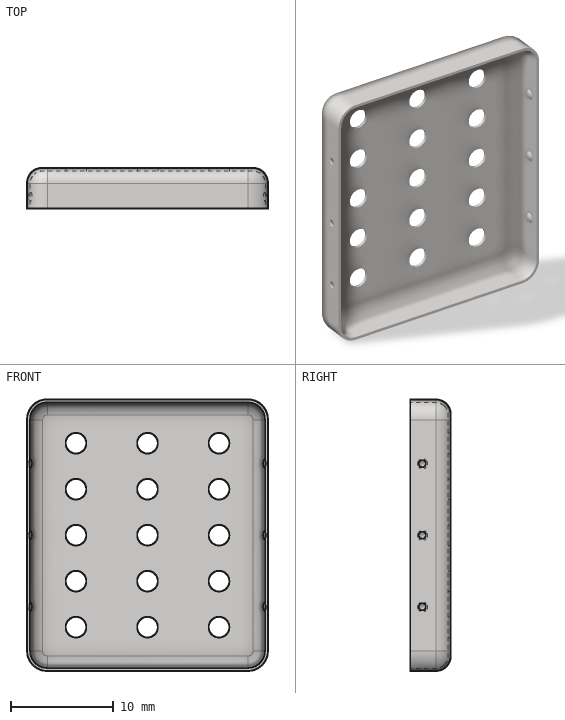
import cadquery as cq

WIDTH = 23.6
DEPTH = 4.0
HEIGHT = 26.6
WALL = 0.3
CORNER_RADIUS = 2.0
FLOOR_FILLET = 1.5

HOLE_DIAMETER = 2.0
HOLE_COLUMNS = 3
HOLE_ROWS = 5
HOLE_PITCH_X = 7.0
HOLE_PITCH_Z = 4.5

DIMPLE_COUNT = 3
DIMPLE_PITCH = 7.0
DIMPLE_RIM_DISTANCE = 1.2
DIMPLE_CENTRE_OFFSET = 0.2
HOLLOW_RADIUS = 0.4
BUMP_RADIUS = HOLLOW_RADIUS + WALL

RIM_Y = -DEPTH / 2
FLOOR_Y = DEPTH / 2


def rounded_block(inset):
    """Block with rounded outline and floor edge, offset inwards from the outer skin."""
    return (
        cq.Workplane("XZ", origin=(0, FLOOR_Y - inset, 0))
        .rect(WIDTH - 2 * inset, HEIGHT - 2 * inset)
        .extrude(DEPTH - inset)
        .edges("|Y")
        .fillet(CORNER_RADIUS - inset)
        .faces(">Y")
        .edges()
        .fillet(FLOOR_FILLET - inset)
    )


def floor_holes():
    """Grid of round holes through the floor."""
    return (
        cq.Workplane("XZ", origin=(0, FLOOR_Y, 0))
        .rarray(HOLE_PITCH_X, HOLE_PITCH_Z, HOLE_COLUMNS, HOLE_ROWS)
        .circle(HOLE_DIAMETER / 2)
        .extrude(2 * WALL, both=True)
    )


def dimple_spheres(radius):
    """One sphere per dimple, centred just outside the side walls, with its poles along X."""
    first_z = -DIMPLE_PITCH * (DIMPLE_COUNT - 1) / 2
    centre_y = RIM_Y + DIMPLE_RIM_DISTANCE
    spheres = []
    for side in (-1, 1):
        centre_x = side * (WIDTH / 2 + DIMPLE_CENTRE_OFFSET)
        for row in range(DIMPLE_COUNT):
            centre = cq.Vector(centre_x, centre_y, first_z + row * DIMPLE_PITCH)
            inward = cq.Vector(-side, 0, 0)
            spheres.append(cq.Solid.makeSphere(radius, centre, inward, -90, 90, 360))
    return spheres


cavity = rounded_block(WALL)
for bump in dimple_spheres(BUMP_RADIUS):
    cavity = cavity.cut(cq.Workplane(bump))

result = rounded_block(0).cut(cavity).cut(floor_holes())
for hollow in dimple_spheres(HOLLOW_RADIUS):
    result = result.cut(cq.Workplane(hollow))